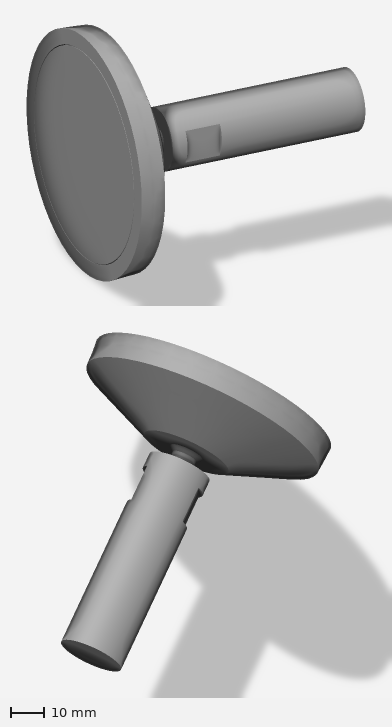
import cadquery as cq

TOTAL_LENGTH = 90.0

BASE_DIAMETER = 78.0
RIM_TOP_DIAMETER = 77.0
RIM_HEIGHT = 8.2
CONE_TOP_DIAMETER = 28.0
FOOT_HEIGHT = 20.0

NECK_DIAMETER = 7.8
FLARE_HEIGHT = 1.4

SPINDLE_DIAMETER = 20.0
SPINDLE_START = 25.0
FLAT_START = 30.0
FLAT_LENGTH = 11.6
ACROSS_FLATS = 17.0

PAD_DIAMETER = 67.5
RECESS_DIAMETER = 68.0
PAD_THICKNESS = 2.7


def cylinder(diameter, start, length):
    """Cylinder on the Y axis, from Y = start to Y = start + length."""
    plane = cq.Plane(origin=(0, start, 0), xDir=(1, 0, 0), normal=(0, 1, 0))
    return cq.Workplane(plane).circle(diameter / 2).extrude(length)


def make_turned_body():
    """Revolve the foot, neck and spindle outline about the Y axis."""
    neck_radius = NECK_DIAMETER / 2
    spindle_radius = SPINDLE_DIAMETER / 2
    outline = [
        (0, 0),
        (BASE_DIAMETER / 2, 0),
        (RIM_TOP_DIAMETER / 2, RIM_HEIGHT),
        (CONE_TOP_DIAMETER / 2, FOOT_HEIGHT),
        (neck_radius + FLARE_HEIGHT, FOOT_HEIGHT),
        (neck_radius, FOOT_HEIGHT + FLARE_HEIGHT),
        (neck_radius, SPINDLE_START),
        (spindle_radius, SPINDLE_START),
        (spindle_radius, TOTAL_LENGTH),
        (0, TOTAL_LENGTH),
    ]
    return cq.Workplane("XY").polyline(outline).close().revolve(360, (0, 0, 0), (0, 1, 0))


def make_flat_cutter(side):
    """Block that cuts one wrench flat; side is -1 or 1 along X."""
    depth = (SPINDLE_DIAMETER - ACROSS_FLATS) / 2
    centre_x = side * (ACROSS_FLATS + depth) / 2
    centre_y = FLAT_START + FLAT_LENGTH / 2
    return (
        cq.Workplane("XY")
        .box(depth, FLAT_LENGTH, SPINDLE_DIAMETER)
        .translate((centre_x, centre_y, 0))
    )


def make_foot():
    """Foot and spindle, with a pad recess below and two wrench flats."""
    foot = make_turned_body()
    foot = foot.cut(cylinder(RECESS_DIAMETER, 0, PAD_THICKNESS))
    for side in (-1, 1):
        foot = foot.cut(make_flat_cutter(side))
    return foot


def make_pad():
    """Disc seated in the recess, with a small clearance around its edge."""
    return cylinder(PAD_DIAMETER, 0, PAD_THICKNESS)


foot = make_foot()
pad = make_pad()

result = cq.Compound.makeCompound([foot.val(), pad.val()])